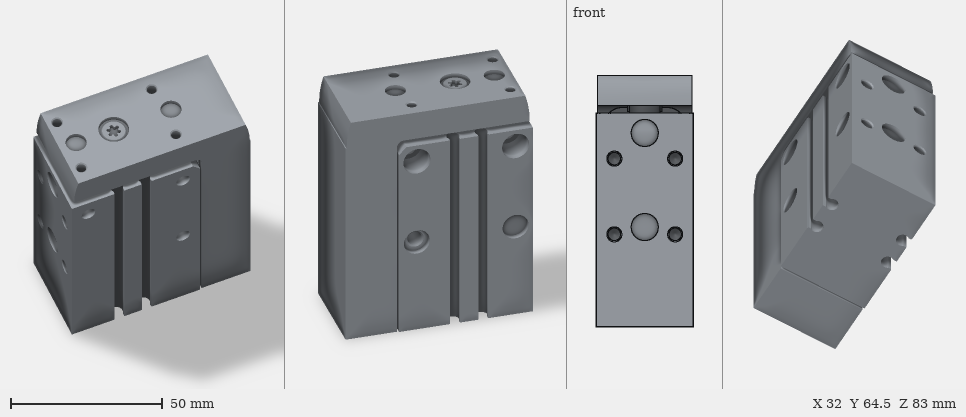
import cadquery as cq
import math

total_height = 83.0
total_depth = 64.5

housing_width = 32.0
housing_depth = 46.15
housing_height = 70.55
housing_chamfer = 2.6

slide_width = 31.3
slide_gap = 0.7
plate_bottom = 73.0
plate_thickness = total_height - plate_bottom
plate_front_y = 1.0
inner_fillet = 2.5
end_arc_bottom = 73.4
end_arc_inset = 1.5
back_step = 0.3
leg_face_y = housing_depth + slide_gap

pocket_width = 26.7
pocket_bottom = 66.4
pocket_top = 72.4
pocket_corner_radius = 5.8
pocket_depth = 6.2
pad_width = 22.0
pad_bottom = 31.8
pad_top = 62.5

rod_y = 22.0
rod_diameter = 10.1
screw_seat_diameter = 10.1
screw_seat_depth = 1.5
screw_head_diameter = 8.8
screw_rim_chamfer = 0.6
screw_head_height = 0.7
torx_diameter = 4.9
torx_depth = 1.7
torx_lobes = 6
stop_y = 37.85
bumper_diameter = 11.5
bumper_height = 1.9
stop_diameter = 5.8

small_bore, small_mouth = 3.2, 4.0
medium_bore, medium_mouth = 4.15, 5.0
large_bore, large_mouth = 4.9, 6.0
drill_point_angle = 118.0

hole_half_spacing = 10.05
plate_hole_ys = (6.0, 40.0)
plate_dowel_diameter = 7.0
plate_dowel_ys = (8.5, 42.6)
plate_dowel_depth = 1.7

housing_dowel_diameter = 9.0
housing_dowel_depth = 2.1
front_hole_zs = (30.55, 55.5)
front_hole_depth = 10.0
front_dowel_zs = (32.95, 64.0)

mount_front_y = 6.0
mount_back_y = 40.0
mount_low_z = 33.5
mount_high_z = 64.5
mount_counterbore_diameter = 9.3
mount_counterbore_depth = 10.0

slot_offset = 4.9
slot_diameter = 4.3
slot_axis_depth = 2.5
slot_mouth_inner = 3.15
slot_mouth_outer = 6.55
slot_step_width = 0.3
slot_step_depth = 0.2


def cylinder(diameter, length, start, direction):
    return cq.Workplane(cq.Solid.makeCylinder(diameter / 2, length, cq.Vector(*start), cq.Vector(*direction)))


def cone(start_diameter, end_diameter, length, start, direction):
    base = cq.Vector(*start)
    axis = cq.Vector(*direction)
    return cq.Workplane(cq.Solid.makeCone(start_diameter / 2, end_diameter / 2, length, base, axis))


def threaded_hole(bore, mouth, depth, start, direction):
    """Straight bore with a 45 degree countersunk mouth."""
    countersink = cone(mouth, bore, (mouth - bore) / 2, start, direction)
    return cylinder(bore, depth, start, direction).union(countersink)


def drilled_hole(bore, mouth, depth, start, direction):
    """Threaded blind hole that ends in a drill point."""
    bottom = tuple(s + depth * d for s, d in zip(start, direction))
    point_length = bore / 2 / math.tan(math.radians(drill_point_angle / 2))
    point = cone(bore, 0, point_length, bottom, direction)
    return threaded_hole(bore, mouth, depth, start, direction).union(point)


def block(width, y_range, z_range):
    """Box centred on the mid-plane between the given Y and Z limits."""
    corner = cq.Vector(-width / 2, y_range[0], z_range[0])
    return cq.Workplane(cq.Solid.makeBox(width, y_range[1] - y_range[0], z_range[1] - z_range[0], corner))


def sensor_slot(side, end):
    """Round-bottomed slot whose mouth has a shallow step on the edge away from the rod axis."""
    face_x = side * housing_width / 2
    step_x = face_x - side * slot_step_depth
    axis_x = face_x - side * slot_axis_depth
    inner_y = rod_y + end * slot_mouth_inner
    outer_y = rod_y + end * slot_mouth_outer
    step_y = outer_y + end * slot_step_width
    mouth = (
        cq.Workplane("XY")
        .polyline([
            (axis_x, inner_y),
            (face_x, inner_y),
            (face_x, step_y),
            (step_x, step_y),
            (step_x, outer_y),
            (axis_x, outer_y),
        ])
        .close()
        .extrude(housing_height)
    )
    channel = cylinder(slot_diameter, housing_height, (axis_x, rod_y + end * slot_offset, 0), (0, 0, 1))
    return channel.union(mouth)


def make_housing():
    housing = block(housing_width, (0, housing_depth), (0, housing_height))
    housing = housing.edges(">Y and >Z").chamfer(housing_chamfer)

    housing = housing.union(block(pad_width, (housing_depth, leg_face_y), (pad_bottom, pad_top)))
    stop_height = plate_bottom - bumper_height - housing_height
    housing = housing.union(cylinder(stop_diameter, stop_height, (0, stop_y, housing_height), (0, 0, 1)))

    for side in (-1, 1):
        for end in (-1, 1):
            housing = housing.cut(sensor_slot(side, end))

    inward = (0, 1, 0)
    for z in front_hole_zs:
        for x in (-hole_half_spacing, hole_half_spacing):
            hole = drilled_hole(medium_bore, medium_mouth, front_hole_depth, (x, 0, z), inward)
            housing = housing.cut(hole)
    for z in front_dowel_zs:
        housing = housing.cut(cylinder(housing_dowel_diameter, housing_dowel_depth, (0, 0, z), inward))

    across = (1, 0, 0)
    side_x = -housing_width / 2
    for y in (mount_front_y, mount_back_y):
        high = (side_x, y, mount_high_z)
        low = (side_x, y, mount_low_z)
        housing = housing.cut(cylinder(mount_counterbore_diameter, mount_counterbore_depth, high, across))
        housing = housing.cut(cylinder(housing_dowel_diameter, housing_dowel_depth, low, across))
    for y, z, recess in (
        (mount_front_y, mount_high_z, mount_counterbore_depth),
        (mount_back_y, mount_high_z, mount_counterbore_depth),
        (mount_back_y, mount_low_z, housing_dowel_depth),
    ):
        start = (side_x + recess, y, z)
        housing = housing.cut(threaded_hole(large_bore, large_mouth, housing_width - recess, start, across))
    return housing


def end_arc_middle_inset():
    """Inset at mid-height of an end arc that starts vertical at its foot."""
    rise = total_height - end_arc_bottom
    radius = (rise ** 2 + end_arc_inset ** 2) / (2 * end_arc_inset)
    return radius - math.sqrt(radius ** 2 - (rise / 2) ** 2)


def slide_bracket():
    back_y = total_depth - back_step
    middle_z = (end_arc_bottom + total_height) / 2
    middle_inset = end_arc_middle_inset()
    fillet_rise = inner_fillet * (1 - math.sqrt(0.5))
    return (
        cq.Workplane("YZ")
        .moveTo(total_depth, 0)
        .lineTo(total_depth, end_arc_bottom)
        .lineTo(back_y, end_arc_bottom)
        .threePointArc((back_y - middle_inset, middle_z), (back_y - end_arc_inset, total_height))
        .lineTo(plate_front_y + end_arc_inset, total_height)
        .threePointArc((plate_front_y + middle_inset, middle_z), (plate_front_y, end_arc_bottom))
        .lineTo(plate_front_y, plate_bottom)
        .lineTo(leg_face_y - inner_fillet, plate_bottom)
        .threePointArc(
            (leg_face_y - fillet_rise, plate_bottom - fillet_rise),
            (leg_face_y, plate_bottom - inner_fillet),
        )
        .lineTo(leg_face_y, 0)
        .close()
        .extrude(slide_width / 2, both=True)
    )


def head_pocket():
    """Pocket with a flat floor shelf and large rounded top corners that breaks into the fillet."""
    y_range = (leg_face_y - inner_fillet, leg_face_y + pocket_depth)
    upper = block(pocket_width, y_range, (pocket_top - 2 * pocket_corner_radius, pocket_top))
    upper = upper.edges("|Y and >Z").fillet(pocket_corner_radius)
    return upper.intersect(block(pocket_width, y_range, (pocket_bottom, pocket_top)))


def torx_socket():
    """Six-lobed socket: a core circle with round lobes."""
    lobe_radius = torx_diameter / 8
    core_radius = torx_diameter / 2 - lobe_radius
    top = total_height - screw_seat_depth + screw_head_height
    core_diameter = 2 * core_radius * math.cos(math.pi / torx_lobes)
    socket = cylinder(core_diameter, torx_depth, (0, rod_y, top), (0, 0, -1))
    for i in range(torx_lobes):
        angle = 2 * math.pi * i / torx_lobes
        centre = (core_radius * math.cos(angle), rod_y + core_radius * math.sin(angle), top)
        socket = socket.union(cylinder(2 * lobe_radius, torx_depth, centre, (0, 0, -1)))
    return socket


def make_slide():
    slide = slide_bracket().cut(head_pocket())
    down = (0, 0, -1)

    slide = slide.union(cylinder(rod_diameter, plate_bottom - housing_height, (0, rod_y, plate_bottom), down))
    slide = slide.union(cylinder(bumper_diameter, bumper_height, (0, stop_y, plate_bottom), down))

    slide = slide.cut(cylinder(screw_seat_diameter, screw_seat_depth, (0, rod_y, total_height), down))
    seat = (0, rod_y, total_height - screw_seat_depth)
    head = cylinder(screw_head_diameter, screw_head_height, seat, (0, 0, 1))
    slide = slide.union(head.faces(">Z").edges().chamfer(screw_rim_chamfer))
    slide = slide.cut(torx_socket())

    for y in plate_hole_ys:
        for x in (-hole_half_spacing, hole_half_spacing):
            start = (x, y, total_height)
            slide = slide.cut(threaded_hole(small_bore, small_mouth, plate_thickness, start, down))
    for y in plate_dowel_ys:
        slide = slide.cut(cylinder(plate_dowel_diameter, plate_dowel_depth, (0, y, total_height), down))
    return slide


housing = make_housing()
slide = make_slide()

result = cq.Compound.makeCompound([housing.val(), slide.val()])